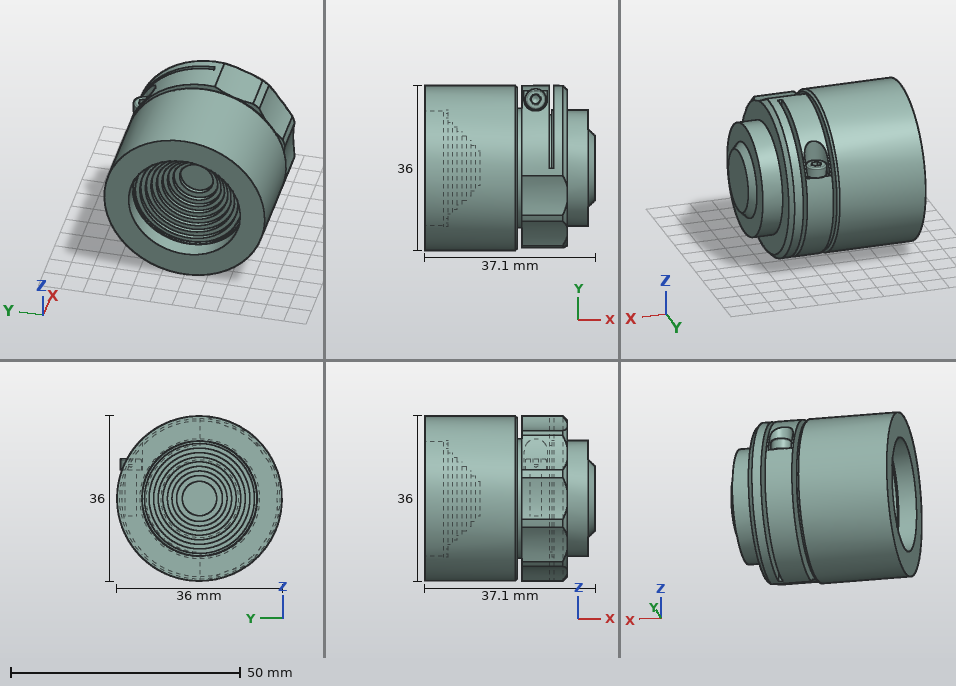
import cadquery as cq
import math

body_radius = 18.0
sleeve_end = 20.2
sleeve_chamfer = 0.52
neck_radius = 13.05
nut_start = 21.15
nut_end = 31.07
nut_chamfer = 1.0
spigot_radius = 12.65
spigot_end = 35.6
nose_end = 37.12
nose_base_radius = 8.45
nose_tip_radius = 7.0

bore_radius = 12.5
bore_depth = 4.0
rim_radius = 12.0
last_tier_radius = 5.0
tier_count = 7
step_pitch = (rim_radius - last_tier_radius) / tier_count
eye_radius = 3.75
relief_radius = 12.65
relief_depth = step_pitch

scallop_count = 5
scallop_spacing = 35.0
scallop_half_angle = 14.7
scallop_floor_radius = 16.85

slit_start = 27.15
slit_end = 28.05
slit_groove_end = 27.65
slit_groove_radius = 11.65

band_middle = (nut_start + slit_start) / 2
screw_y = 15.0
head_radius = 2.25
head_height = 2.4
head_fillet = 0.35
seat_z = 6.27
pocket_radius = 2.55
shank_radius = 1.25
shank_length = 10.02
socket_flats = 2.0
socket_depth = 1.25
drill_tip_angle = 120.0


def x_cylinder(radius, start, end):
    return cq.Workplane("YZ", origin=(start, 0, 0)).circle(radius).extrude(end - start)


def make_outer_shape():
    profile = [
        (0, 0),
        (0, body_radius),
        (sleeve_end - sleeve_chamfer, body_radius),
        (sleeve_end, body_radius - sleeve_chamfer),
        (sleeve_end, neck_radius),
        (nut_start, neck_radius),
        (nut_start, body_radius),
        (nut_end - nut_chamfer, body_radius),
        (nut_end, body_radius - nut_chamfer),
        (nut_end, spigot_radius),
        (spigot_end, spigot_radius),
        (spigot_end, nose_base_radius),
        (nose_end, nose_tip_radius),
        (nose_end, 0),
    ]
    return cq.Workplane("XZ").polyline(profile).close().revolve(360, (0, 0, 0), (1, 0, 0))


def make_bore():
    bore = x_cylinder(bore_radius, 0, bore_depth)
    for tier in range(1, tier_count + 1):
        radius = rim_radius - tier * step_pitch
        bore = bore.union(x_cylinder(radius, 0, bore_depth + tier * step_pitch))
    bore = bore.union(x_cylinder(eye_radius, 0, bore_depth + (tier_count + 1) * step_pitch))
    relief = x_cylinder(relief_radius, bore_depth, bore_depth + relief_depth)
    relief = relief.cut(x_cylinder(rim_radius, bore_depth, bore_depth + relief_depth))
    return bore.union(relief)


def make_scallop():
    half_width = body_radius * math.sin(math.radians(scallop_half_angle))
    rise = body_radius * math.cos(math.radians(scallop_half_angle)) - scallop_floor_radius
    radius = (half_width**2 + rise**2) / (2 * rise)
    return (
        cq.Workplane("YZ", origin=(nut_start, 0, 0))
        .center(-(scallop_floor_radius + radius), 0)
        .circle(radius)
        .extrude(nut_end - nut_start)
    )


def make_slit():
    ring = x_cylinder(body_radius, slit_start, slit_end)
    ring = ring.cut(x_cylinder(slit_groove_radius, slit_start, slit_groove_end))
    ring = ring.cut(x_cylinder(spigot_radius, slit_groove_end, slit_end))
    plus_y_half = cq.Workplane("XY").box(
        nose_end, body_radius, 2 * body_radius, centered=(False, False, True)
    )
    return ring.intersect(plus_y_half)


def make_pocket():
    height = body_radius - seat_z
    seat = cq.Workplane("XY", origin=(band_middle, screw_y, seat_z))
    round_end = seat.circle(pocket_radius).extrude(height)
    open_end = seat.rect(2 * pocket_radius, body_radius - screw_y).extrude(height)
    open_end = open_end.translate((0, (body_radius - screw_y) / 2, 0))
    return round_end.union(open_end)


def make_shank():
    return (
        cq.Workplane("XY", origin=(band_middle, screw_y, seat_z))
        .circle(shank_radius)
        .extrude(-shank_length)
    )


def make_housing():
    housing = make_outer_shape().cut(make_bore())
    scallop = make_scallop()
    for index in range(scallop_count):
        angle = (index - (scallop_count - 1) / 2) * scallop_spacing
        housing = housing.cut(scallop.rotate((0, 0, 0), (1, 0, 0), angle))
    return housing.cut(make_slit()).cut(make_pocket()).cut(make_shank()).solids()


def make_screw():
    head_top = seat_z + head_height
    head = (
        cq.Workplane("XY", origin=(band_middle, screw_y, seat_z))
        .circle(head_radius)
        .extrude(head_height)
        .faces(">Z")
        .edges()
        .fillet(head_fillet)
    )
    corner_radius = socket_flats / math.sqrt(3)
    socket = (
        cq.Workplane("XY", origin=(band_middle, screw_y, head_top))
        .polygon(6, 2 * corner_radius)
        .extrude(-socket_depth)
    )
    tip_radius = socket_flats / 2
    tip_length = tip_radius / math.tan(math.radians(drill_tip_angle / 2))
    tip = cq.Workplane(
        cq.Solid.makeCone(
            tip_radius,
            0,
            tip_length,
            cq.Vector(band_middle, screw_y, head_top - socket_depth),
            cq.Vector(0, 0, -1),
        )
    )
    return head.union(make_shank()).cut(socket).cut(tip).solids()


housing = make_housing()
screw = make_screw()

result = cq.Compound.makeCompound([housing.val(), screw.val()])